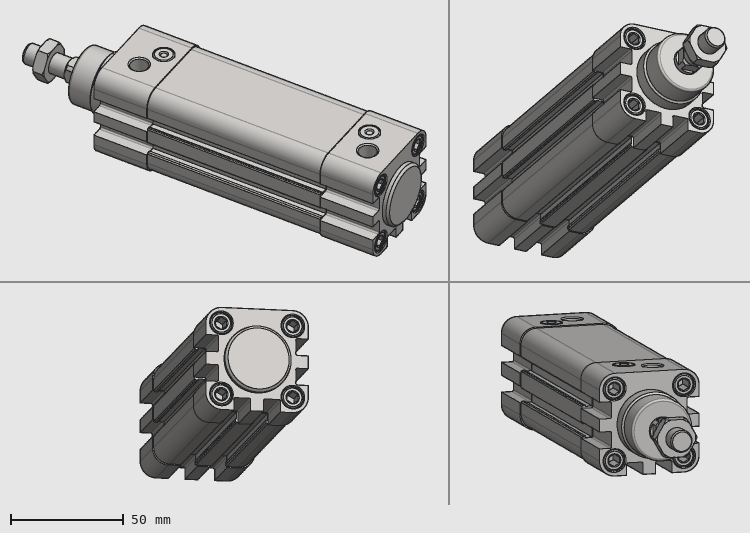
import cadquery as cq
import math

TOTAL_LENGTH = 195.0
HEAD_START = 48.0
HEAD_LENGTH = 27.3
REAR_BOSS_LENGTH = 3.1
REAR_END = TOTAL_LENGTH - REAR_BOSS_LENGTH
CENTRE_X = (HEAD_START + REAR_END) / 2

CAP_SIZE = 46.5
BARREL_SIZE = 45.5
CORNER_RADIUS = 7.2

SLOT_SIDE_ANGLES = (0, 90, -90)
CAP_SLOT_WALLS = (3.0, 10.5)
CAP_SLOT_FILLET = 0.8
CAP_SLOT_FLOOR_DISTANCE = 17.5
BARREL_SLOT_WALLS = (3.7, 10.3)
BARREL_SLOT_LIPS = (4.0, 9.8)
BARREL_SLOT_FLOOR_DISTANCE = 18.0
LIP_BEVEL_DEPTH = 0.5
LIP_DEPTH = 1.8

COLLAR_START = 29.0
COLLAR_DIAMETER = 28.0
COLLAR_FILLET = 1.0
PILOT_DIAMETER = 30.0
PILOT_START = 40.5
PILOT_TAPER_LENGTH = 0.8
BOSS_CHAMFER = 1.2

SCREW_OFFSET = 16.2
SCREW_SINK_DIAMETER = 10.7
SCREW_BORE_DIAMETER = 9.8
SCREW_HEAD_DIAMETER = 8.4
SCREW_SINK = 0.4
SCREW_HEAD_CHAMFER_LENGTH = 0.5
SOCKET_SINK_DIAMETER = 6.0
SOCKET_ACROSS_FLATS = 4.9
SOCKET_SINK = 0.4
SOCKET_DEPTH = 9.8

PORT_INSET = 13.0
PORT_Y = -5.7
PORT_MOUTH_DIAMETER = 10.0
PORT_DIAMETER = 8.5
PORT_SINK = 0.5
PORT_DEPTH = 7.8
CUSHION_INSET = 19.0
CUSHION_Y = 5.8
CUSHION_BORE_DIAMETER = 10.0
CUSHION_HEAD_DIAMETER = 8.4
CUSHION_RISE = 0.12
CUSHION_CHAMFER_LENGTH = 0.8
CUSHION_SOCKET_DIAMETER = 4.0
CUSHION_SOCKET_FLOOR_DIAMETER = 3.0
CUSHION_SOCKET_DEPTH = 0.5

THREAD_ROD_DIAMETER = 10.0
TIP_CHAMFER = 0.5
TIP_CHAMFER_LENGTH = 1.0
ROD_DIAMETER = 12.0
ROD_START = 21.8
ROD_LEAD_LENGTH = 1.0
FLATS_WIDTH = 10.0
FLATS_END = 27.1
NUT_START = 8.0
NUT_LENGTH = 5.8
NUT_ACROSS_FLATS = 17.0
NUT_CHAMFER_LENGTH = 0.5
NUT_FACE_DIAMETER = 17.7


def turned(profile):
    """Solid of revolution about X from (x, radius) points, closed along the axis."""
    first_x = profile[0][0]
    last_x = profile[-1][0]
    points = [(first_x, 0), *profile, (last_x, 0)]
    return cq.Workplane("XY").polyline(points).close().revolve(360, (0, 0, 0), (1, 0, 0))


def square_bar(start, length, size):
    """Bar along X with rounded long edges."""
    bar = cq.Workplane("YZ", origin=(start, 0, 0)).rect(size, size).extrude(length)
    return bar.edges("|X").fillet(CORNER_RADIUS)


def cap_slot(start, length):
    """Slot with rounded floor corners, opening towards -Z."""
    inner_wall, outer_wall = CAP_SLOT_WALLS
    width = outer_wall - inner_wall
    depth = CAP_SIZE / 2 - CAP_SLOT_FLOOR_DISTANCE
    slot = cq.Workplane("XY").box(length, width, depth, centered=False)
    slot = slot.edges("|X and >Z").fillet(CAP_SLOT_FILLET)
    return slot.translate((start, inner_wall, -CAP_SIZE / 2))


def barrel_slot(start, length):
    """Slot with bevelled retaining lips at its mouth, opening towards -Z."""
    inner_wall, outer_wall = BARREL_SLOT_WALLS
    inner_lip, outer_lip = BARREL_SLOT_LIPS
    mouth_z = -BARREL_SIZE / 2
    bevel_z = mouth_z + LIP_BEVEL_DEPTH
    lip_z = mouth_z + LIP_DEPTH
    floor_z = -BARREL_SLOT_FLOOR_DISTANCE
    section = [
        (inner_wall, mouth_z),
        (inner_lip, bevel_z),
        (inner_lip, lip_z),
        (inner_wall, lip_z),
        (inner_wall, floor_z),
        (outer_wall, floor_z),
        (outer_wall, lip_z),
        (outer_lip, lip_z),
        (outer_lip, bevel_z),
        (outer_wall, mouth_z),
    ]
    return cq.Workplane("YZ", origin=(start, 0, 0)).polyline(section).close().extrude(length)


def cut_slots(bar, slot):
    """Cut a slot and its mirror image into the bottom and both sides of a bar."""
    pair = slot.union(slot.mirror("XZ"))
    for angle in SLOT_SIDE_ANGLES:
        bar = bar.cut(pair.rotate((0, 0, 0), (1, 0, 0), angle))
    return bar


def hexagon_bar(start, length, across_flats):
    """Hexagonal bar along X with two of its corners on the Y axis."""
    across_corners = across_flats / math.cos(math.pi / 6)
    return cq.Workplane("YZ", origin=(start, 0, 0)).polygon(6, across_corners).extrude(length)


def screw_recess():
    """Countersunk bore around a chamfered screw head with a hexagon socket; mouth at X = 0."""
    socket_mouth = SCREW_SINK + SOCKET_SINK
    recess = turned([
        (0, SCREW_SINK_DIAMETER / 2),
        (SCREW_SINK, SCREW_BORE_DIAMETER / 2),
        (SCREW_SINK + SCREW_HEAD_CHAMFER_LENGTH, SCREW_BORE_DIAMETER / 2),
        (SCREW_SINK, SCREW_HEAD_DIAMETER / 2),
        (SCREW_SINK, SOCKET_SINK_DIAMETER / 2),
        (socket_mouth, SOCKET_ACROSS_FLATS / 2),
    ])
    socket = hexagon_bar(0, SOCKET_DEPTH, SOCKET_ACROSS_FLATS).rotate((0, 0, 0), (1, 0, 0), 90)
    return recess.union(socket)


def port_hole():
    """Countersunk air port; mouth at X = 0."""
    return turned([
        (0, PORT_MOUTH_DIAMETER / 2),
        (PORT_SINK, PORT_DIAMETER / 2),
        (PORT_DEPTH, PORT_DIAMETER / 2),
    ])


def cushion_bore():
    """Shallow bore that leaves the chamfer of the cushioning screw exposed; mouth at X = 0."""
    return turned([
        (0, CUSHION_BORE_DIAMETER / 2),
        (CUSHION_CHAMFER_LENGTH - CUSHION_RISE, CUSHION_BORE_DIAMETER / 2),
    ])


def cushion_head():
    """Chamfered head of the cushioning screw, standing just proud of X = 0, with its socket."""
    top = -CUSHION_RISE
    head = turned([
        (top, CUSHION_HEAD_DIAMETER / 2),
        (top + CUSHION_CHAMFER_LENGTH, CUSHION_BORE_DIAMETER / 2),
    ])
    socket = turned([
        (top, CUSHION_SOCKET_DIAMETER / 2),
        (top + CUSHION_SOCKET_DEPTH, CUSHION_SOCKET_FLOOR_DIAMETER / 2),
    ])
    return head.cut(socket)


def on_cap_top(part, inset, y):
    """Turn a part that lies along X to point down from the top face of the front cap."""
    downward = part.rotate((0, 0, 0), (0, 1, 0), 90)
    return downward.translate((HEAD_START + inset, y, CAP_SIZE / 2))


def build_front_cap():
    cap = square_bar(HEAD_START, HEAD_LENGTH, CAP_SIZE)
    cap = cut_slots(cap, cap_slot(HEAD_START, HEAD_LENGTH))
    for y in (-SCREW_OFFSET, SCREW_OFFSET):
        for z in (-SCREW_OFFSET, SCREW_OFFSET):
            cap = cap.cut(screw_recess().translate((HEAD_START, y, z)))
    cap = cap.cut(on_cap_top(port_hole(), PORT_INSET, PORT_Y))
    cap = cap.cut(on_cap_top(cushion_bore(), CUSHION_INSET, CUSHION_Y))
    return cap.union(on_cap_top(cushion_head(), CUSHION_INSET, CUSHION_Y))


def build_barrel():
    start = HEAD_START + HEAD_LENGTH
    length = REAR_END - HEAD_LENGTH - start
    bar = square_bar(start, length, BARREL_SIZE)
    return cut_slots(bar, barrel_slot(start, length))


def build_collar():
    """Round-edged collar that widens through a short cone to the pilot against the front cap."""
    collar = turned([
        (COLLAR_START, COLLAR_DIAMETER / 2),
        (PILOT_START, COLLAR_DIAMETER / 2),
        (PILOT_START + PILOT_TAPER_LENGTH, PILOT_DIAMETER / 2),
        (HEAD_START, PILOT_DIAMETER / 2),
    ])
    return collar.faces("<X").edges().fillet(COLLAR_FILLET)


def build_rear_boss():
    return turned([
        (REAR_END, PILOT_DIAMETER / 2),
        (TOTAL_LENGTH - BOSS_CHAMFER, PILOT_DIAMETER / 2),
        (TOTAL_LENGTH, PILOT_DIAMETER / 2 - BOSS_CHAMFER),
    ])


def build_housing():
    front_cap = build_front_cap()
    rear_cap = front_cap.mirror("YZ", (CENTRE_X, 0, 0))
    housing = build_barrel()
    for section in (front_cap, rear_cap, build_collar(), build_rear_boss()):
        housing = housing.union(section)
    return housing


def build_nut():
    """Hexagon nut with both ends turned down to a cone."""
    across_corners = NUT_ACROSS_FLATS / math.cos(math.pi / 6)
    nut_end = NUT_START + NUT_LENGTH
    envelope = turned([
        (NUT_START, NUT_FACE_DIAMETER / 2),
        (NUT_START + NUT_CHAMFER_LENGTH, across_corners / 2),
        (nut_end - NUT_CHAMFER_LENGTH, across_corners / 2),
        (nut_end, NUT_FACE_DIAMETER / 2),
    ])
    return hexagon_bar(NUT_START, NUT_LENGTH, NUT_ACROSS_FLATS).intersect(envelope)


def build_rod():
    """Piston rod with a threaded end, four wrench flats and the lock nut on the thread."""
    thread_radius = THREAD_ROD_DIAMETER / 2
    thread = turned([
        (0, thread_radius - TIP_CHAMFER),
        (TIP_CHAMFER_LENGTH, thread_radius),
        (ROD_START, thread_radius),
    ])
    shank = turned([
        (ROD_START, thread_radius),
        (ROD_START + ROD_LEAD_LENGTH, ROD_DIAMETER / 2),
        (COLLAR_START, ROD_DIAMETER / 2),
    ])
    flats_length = FLATS_END - ROD_START
    flats_plane = cq.Workplane("YZ", origin=(ROD_START, 0, 0))
    waste = flats_plane.rect(2 * ROD_DIAMETER, 2 * ROD_DIAMETER).rect(FLATS_WIDTH, FLATS_WIDTH)
    shank = shank.cut(waste.extrude(flats_length))
    return thread.union(shank).union(build_nut())


housing = build_housing()
rod = build_rod()

result = cq.Compound.makeCompound([housing.val(), rod.val()])